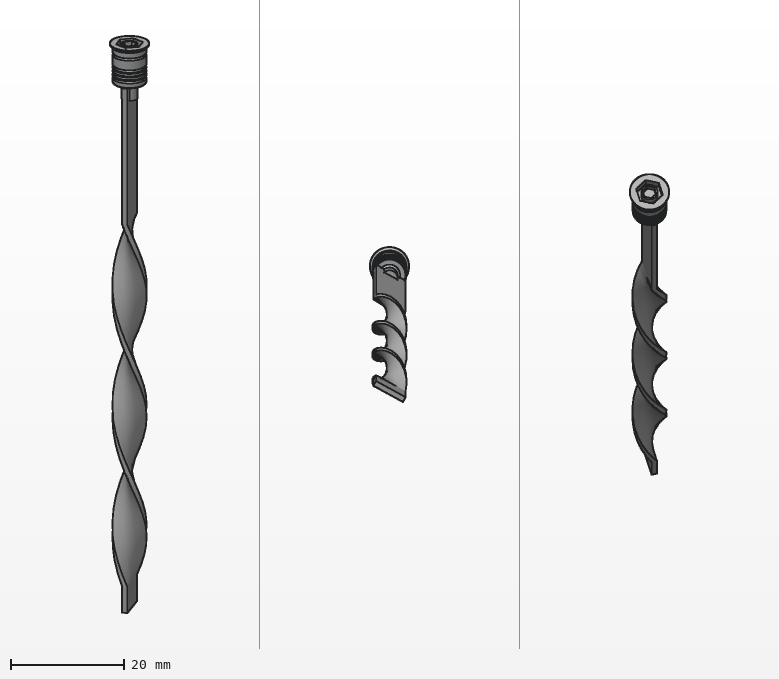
import cadquery as cq
import math

total_length = 107.5
top_z = total_length / 2

flange_diameter = 7.0
cap_diameter = 6.0
cap_length = 7.5
flange_rim = 0.2
cap_chamfer = 0.2
hex_recess_flats = 4.2
hex_recess_depth = 1.6
collar_height = 0.4

groove_radius = 0.2
single_groove_depth = 1.9
group_groove_depth = 4.2
group_groove_pitch = 0.7
group_groove_count = 4

pin_diameter = 2.9
pin_top_depth = 0.1
pin_length = 10.3
pin_socket_flats = 2.2
pin_socket_depth = 1.1

strip_width = cap_diameter
strip_thickness = 1.0
twist_start_depth = 33.4
twist_half_turns = 3
tail_length = 5.0

cap_radius = cap_diameter / 2
flange_radius = flange_diameter / 2
flange_taper = flange_radius - cap_radius
pin_radius = pin_diameter / 2
cap_bottom_z = top_z - cap_length
pin_top_z = top_z - pin_top_depth
twist_top_z = top_z - twist_start_depth
twist_bottom_z = tail_length - top_z


def revolve_profile(points):
    """Solid of revolution about Z from a closed (radius, z) outline."""
    return cq.Workplane("XZ").polyline(points).close().revolve(360, (0, 0), (0, 1))


def hexagon_prism(across_flats, depth, z):
    """Hexagonal cutter going down from z, with two corners over the Y axis."""
    corner_diameter = across_flats / math.cos(math.pi / 6)
    prism = cq.Workplane("XY").polygon(6, corner_diameter).extrude(-depth)
    return prism.rotate((0, 0, 0), (0, 0, 1), 90).translate((0, 0, z))


def pin_cylinder():
    """Full round of the pin, which also cuts its seats in the cap and the strip."""
    return cq.Workplane("XY", origin=(0, 0, pin_top_z)).circle(pin_radius).extrude(-pin_length)


def collar():
    """Conical collar where the pin leaves the cap, narrowing down to the pin."""
    collar_bottom_z = cap_bottom_z - collar_height
    return revolve_profile([
        (0, cap_bottom_z),
        (pin_radius + collar_height, cap_bottom_z),
        (pin_radius, collar_bottom_z),
        (0, collar_bottom_z),
    ])


def ring_groove(depth_below_top):
    """Ring-shaped cutter with a round section centred on the cap wall."""
    ring = cq.Solid.makeTorus(cap_radius, groove_radius)
    return cq.Workplane(ring.translate(cq.Vector(0, 0, top_z - depth_below_top)))


def make_cap():
    rim_z = top_z - flange_rim
    cap = revolve_profile([
        (0, top_z),
        (flange_radius, top_z),
        (flange_radius, rim_z),
        (cap_radius, rim_z - flange_taper),
        (cap_radius, cap_bottom_z + cap_chamfer),
        (cap_radius - cap_chamfer, cap_bottom_z),
        (0, cap_bottom_z),
    ])
    cap = cap.cut(ring_groove(single_groove_depth))
    for index in range(group_groove_count):
        cap = cap.cut(ring_groove(group_groove_depth + index * group_groove_pitch))
    cap = cap.cut(hexagon_prism(hex_recess_flats, hex_recess_depth, top_z))
    return cap.union(collar()).cut(pin_cylinder())


def make_pin():
    return pin_cylinder().cut(hexagon_prism(pin_socket_flats, pin_socket_depth, pin_top_z))


def strip_section(z):
    """Cross-section of the untwisted strip at height z."""
    return cq.Workplane("XY", origin=(0, 0, z)).rect(strip_thickness, strip_width)


def make_strip():
    straight = strip_section(twist_top_z).extrude(cap_bottom_z - twist_top_z)
    twist_length = twist_top_z - twist_bottom_z
    twisted = strip_section(twist_bottom_z).twistExtrude(twist_length, -180 * twist_half_turns)
    tail = strip_section(-top_z).extrude(tail_length)
    strip = straight.union(twisted).union(tail)
    return strip.cut(collar()).cut(pin_cylinder())


cap = make_cap()
pin = make_pin()
strip = make_strip()

result = cq.Compound.makeCompound([cap.val(), pin.val(), strip.val()])